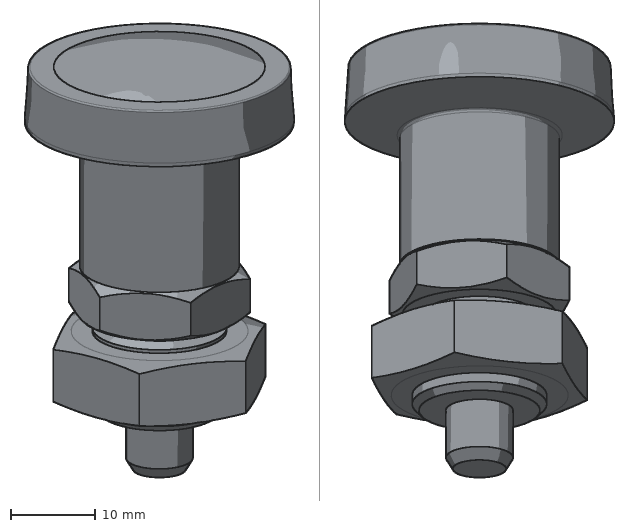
import cadquery as cq
import math

total_height = 53.6
pin_shoulder_z = 2.05
thread_bottom_z = 8.0
nut_bottom_z = 9.9
nut_top_z = 18.0
thread_top_z = 18.45
neck_bottom_z = 19.1
collar_bottom_z = 20.0
sleeve_bottom_z = 26.2
knob_bottom_z = 42.55
knob_rim_z = 44.35
knob_top_z = 51.25

pin_radius = 8.0 / 2
pin_end_radius = 3.15
pin_dome_height = 0.65

thread_radius = 16.0 / 2
thread_chamfer = 0.8
neck_radius = 13.4 / 2

nut_flats = 23.2
nut_face_radius = 10.5
nut_chamfer_angle = 15
collar_flats = 19.0
collar_face_radius = 9.15
collar_chamfer_angle = 30

sleeve_radius = collar_flats / 2
sleeve_fillet = 0.45
knob_radius = 32.0 / 2
knob_top_radius = 15.6
knob_top_fillet = 0.2
knob_rim_height = 0.5
dome_radius = 12.55


def revolve(profile):
    """Close a radius-height profile and turn it about the Z axis."""
    return profile.close().revolve(360, (0, 0, 0), (0, 1, 0))


def chamfered_hexagon(flats, bottom, top, face_radius, angle, corner_on_x):
    """Hexagonal prism whose corners are turned off conically at both ends."""
    corner_radius = flats / math.sqrt(3)
    drop = (corner_radius - face_radius) * math.tan(math.radians(angle))
    base = cq.Workplane("XY").workplane(offset=bottom)
    prism = base.polygon(6, 2 * corner_radius).extrude(top - bottom)
    if not corner_on_x:
        prism = prism.rotate((0, 0, 0), (0, 0, 1), 30)
    turned_profile = [
        (0, bottom),
        (face_radius, bottom),
        (corner_radius, bottom + drop),
        (corner_radius, top - drop),
        (face_radius, top),
        (0, top),
    ]
    return prism.intersect(revolve(cq.Workplane("XZ").polyline(turned_profile)))


def cap_point(base_radius, rise):
    """Radius and height of the point halfway along a spherical cap's arc, from its centre to its rim."""
    sphere_radius = (base_radius**2 + rise**2) / (2 * rise)
    half_angle = math.asin(base_radius / sphere_radius) / 2
    return sphere_radius * math.sin(half_angle), rise - sphere_radius * (1 - math.cos(half_angle))


def make_pin():
    mid_radius, mid_height = cap_point(pin_end_radius, pin_dome_height)
    profile = (
        cq.Workplane("XZ")
        .moveTo(0, 0)
        .threePointArc((mid_radius, pin_dome_height - mid_height), (pin_end_radius, pin_dome_height))
        .lineTo(pin_radius, pin_shoulder_z)
        .lineTo(pin_radius, nut_bottom_z)
        .lineTo(0, nut_bottom_z)
    )
    return revolve(profile)


def make_body():
    profile = cq.Workplane("XZ").polyline([
        (0, thread_bottom_z),
        (thread_radius - thread_chamfer, thread_bottom_z),
        (thread_radius, thread_bottom_z + thread_chamfer),
        (thread_radius, thread_top_z),
        (neck_radius, neck_bottom_z),
        (neck_radius, sleeve_bottom_z),
        (0, sleeve_bottom_z),
    ])
    return revolve(profile)


def make_handle():
    """Sleeve and pull knob, with a fillet where they meet and a shallow dome on top."""
    dome_rise = total_height - knob_top_z
    mid_radius, mid_height = cap_point(dome_radius, dome_rise)
    handle = revolve(cq.Workplane("XZ").polyline([
        (0, sleeve_bottom_z),
        (sleeve_radius, sleeve_bottom_z),
        (sleeve_radius, knob_bottom_z),
        (knob_radius, knob_rim_z),
        (knob_radius, knob_rim_z + knob_rim_height),
        (knob_top_radius, knob_top_z),
        (0, knob_top_z),
    ]))
    handle = handle.faces(">Z").edges().fillet(knob_top_fillet)
    sleeve_joint = cq.selectors.NearestToPointSelector((0, 0, knob_bottom_z))
    handle = handle.edges(sleeve_joint).fillet(sleeve_fillet)
    dome = revolve(
        cq.Workplane("XZ")
        .moveTo(0, knob_top_z)
        .lineTo(dome_radius, knob_top_z)
        .threePointArc((mid_radius, knob_top_z + mid_height), (0, total_height))
    )
    return handle.union(dome)


nut = chamfered_hexagon(nut_flats, nut_bottom_z, nut_top_z, nut_face_radius, nut_chamfer_angle, False)
collar = chamfered_hexagon(
    collar_flats, collar_bottom_z, sleeve_bottom_z, collar_face_radius, collar_chamfer_angle, True
)
result = make_pin().union(make_body()).union(nut).union(collar).union(make_handle())